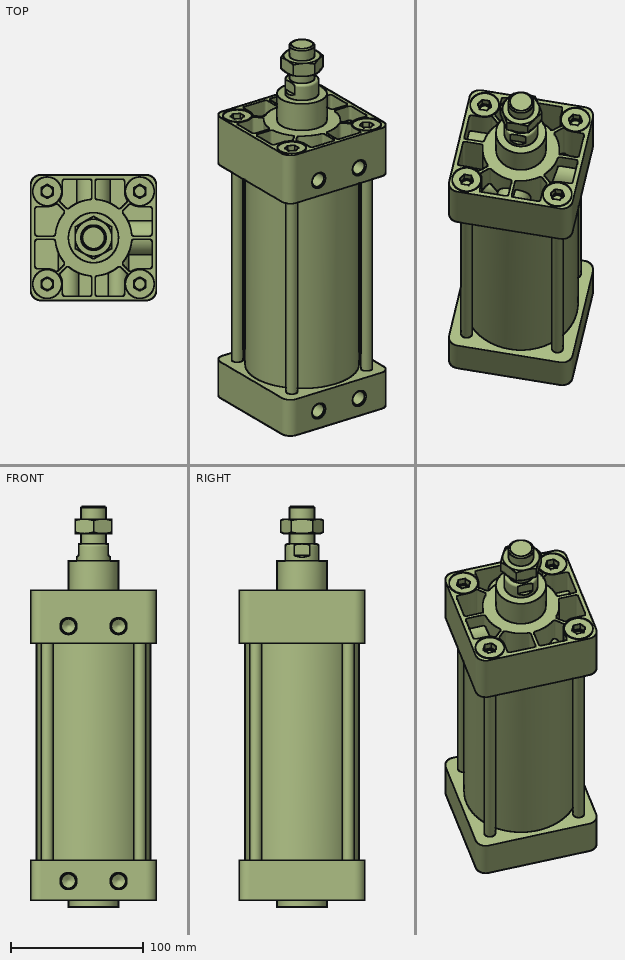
import cadquery as cq
import math

total_height = 303.5

cap_side = 95.3
cap_corner_radius = 8.0
spigot_diameter = 38.0
rear_spigot_height = 5.2
rear_cap_height = 30.5
front_cap_top = 240.2
front_cap_height = 40.5
front_spigot_top = 262.3

barrel_diameter = 86.5
tie_rod_diameter = 8.8
tie_rod_spacing = 70.0

head_diameter = 22.0
head_recess_depth = 0.5
socket_across_flats = 9.0
socket_depth = 6.0
socket_drill_diameter = 8.5
socket_drill_depth = 7.5

pocket_wall = 3.3
pocket_rib = 2.5
pocket_depth = 33.5
pocket_corner_radius = 1.8
hub_diameter = 58.0
head_wall_radius = 11.5

mount_spacing = 38.0
mount_diameter = 11.0
mount_mouth_diameter = 12.8
mount_depth = 13.7
drill_point_angle = 118.0
front_mount_height = 212.8
rear_mount_height = 19.7
mount_boss_diameter = 15.8
port_boss_diameter = 25.5
port_boss_height = 215.5

rod_diameter = 25.5
rod_shoulder_height = 275.0
rod_shoulder_radius = 1.8
rod_flat_distance = 22.5
rod_flat_bottom = 266.5
thread_diameter = 19.0
thread_chamfer = 1.2

nut_across_flats = 28.0
nut_bottom = 283.0
nut_height = 11.0
nut_chamfer_angle = 25.0

tie_rod_offset = tie_rod_spacing / 2
rear_cap_top = rear_spigot_height + rear_cap_height
front_cap_bottom = front_cap_top - front_cap_height
pocket_floor = front_cap_top - pocket_depth
pocket_reach = cap_side / 2 - pocket_wall
tie_rod_places = [(sx * tie_rod_offset, sy * tie_rod_offset) for sx in (-1, 1) for sy in (-1, 1)]
hexagon_ratio = 1 / math.cos(math.pi / 6)


def cylinder(diameter, bottom, top):
    """Cylinder on the Z axis between two heights."""
    return cq.Workplane("XY").workplane(offset=bottom).circle(diameter / 2).extrude(top - bottom)


def hexagon(across_flats, bottom, top):
    """Hexagonal prism on the Z axis with two corners on the Y axis."""
    prism = cq.Workplane("XY").workplane(offset=bottom)
    return prism.polygon(6, across_flats * hexagon_ratio).extrude(top - bottom).rotate((0, 0, 0), (0, 0, 1), 90)


def end_cap(bottom, height):
    """Square block with rounded upright edges."""
    block = cq.Workplane("XY").workplane(offset=bottom).rect(cap_side, cap_side).extrude(height)
    return block.edges("|Z").fillet(cap_corner_radius)


def mount_hole(x, z):
    """Drilled hole with a drill point and a chamfered mouth, entering the -Y face."""
    radius = mount_diameter / 2
    mouth_radius = mount_mouth_diameter / 2
    tip = mount_depth + radius / math.tan(math.radians(drill_point_angle / 2))
    profile = [
        (0, 0),
        (mouth_radius, 0),
        (radius, mouth_radius - radius),
        (radius, mount_depth),
        (0, tip),
    ]
    hole = cq.Workplane("XY").polyline(profile).close().revolve(360, (0, 0, 0), (0, 1, 0))
    return hole.translate((x, -cap_side / 2, z))


def head_walls():
    """Metal left around the tie rod heads: round towards the hub and straight towards the outer walls."""
    height = front_cap_top - pocket_floor
    base = cq.Workplane("XY").workplane(offset=pocket_floor)
    walls = base.pushPoints(tie_rod_places).circle(head_wall_radius).extrude(height)
    for angle in range(0, 360, 90):
        arm = base.center(tie_rod_offset, tie_rod_offset)
        for corner in ((0, -head_wall_radius), (-head_wall_radius, 0)):
            block = arm.moveTo(*corner).lineTo(head_wall_radius, corner[1])
            block = block.lineTo(head_wall_radius, head_wall_radius).lineTo(corner[0], head_wall_radius)
            walls = walls.union(block.close().extrude(height).rotate((0, 0, 0), (0, 0, 1), angle))
    return walls


def is_pocket_corner(edge):
    """True unless the edge is where a round head wall runs smoothly into a straight one."""
    place = edge.Center()
    gap = min(abs(abs(place.x) - tie_rod_offset), abs(abs(place.y) - tie_rod_offset))
    return gap > pocket_corner_radius


def pockets():
    """Eight pockets around the hub, parted by straight and diagonal ribs."""
    height = front_cap_top - pocket_floor
    base = cq.Workplane("XY").workplane(offset=pocket_floor)
    space = base.rect(2 * pocket_reach, 2 * pocket_reach).extrude(height)
    space = space.cut(cylinder(hub_diameter, pocket_floor, front_cap_top)).cut(head_walls())
    rib = base.rect(2 * cap_side, pocket_rib).extrude(height)
    for angle in range(0, 180, 45):
        space = space.cut(rib.rotate((0, 0, 0), (0, 0, 1), angle))
    return space.edges("|Z").filter(is_pocket_corner).fillet(pocket_corner_radius)


def boss(diameter, angle, across, height):
    """Round bar from the Z axis to an outer wall; an angle of 0 points it along +X."""
    bar = cq.Workplane("YZ").center(across, height).circle(diameter / 2).extrude(pocket_reach)
    return bar.rotate((0, 0, 0), (0, 0, 1), angle)


def tie_rod_heads():
    """Shallow recesses over the tie rod heads, with a drilled hexagon socket in each head."""
    recess = cylinder(head_diameter, front_cap_top - head_recess_depth, front_cap_top)
    socket = hexagon(socket_across_flats, front_cap_top - socket_depth, front_cap_top)
    drill = cylinder(socket_drill_diameter, front_cap_top - socket_drill_depth, front_cap_top)
    return recess.union(socket).union(drill)


def build_housing():
    """Caps, barrel, spigots and tie rods."""
    space = pockets()
    for side in (-1, 1):
        space = space.cut(boss(mount_boss_diameter, -90, side * mount_spacing / 2, front_mount_height))
    for angle in (0, 90):
        space = space.cut(boss(port_boss_diameter, angle, 0, port_boss_height))

    body = end_cap(rear_spigot_height, rear_cap_height)
    body = body.union(cylinder(spigot_diameter, 0, rear_spigot_height))
    body = body.union(cylinder(barrel_diameter, rear_cap_top, front_cap_bottom))
    body = body.union(end_cap(front_cap_bottom, front_cap_height).cut(space))
    body = body.union(cylinder(spigot_diameter, front_cap_top, front_spigot_top))
    for x, y in tie_rod_places:
        body = body.union(cylinder(tie_rod_diameter, rear_cap_top, front_cap_bottom).translate((x, y, 0)))
        body = body.cut(tie_rod_heads().translate((x, y, 0)))
    for z in (rear_mount_height, front_mount_height):
        for side in (-1, 1):
            body = body.cut(mount_hole(side * mount_spacing / 2, z))
    return body


def build_rod():
    """Piston rod standing on the front spigot, with wrench flats and a threaded end."""
    rod = cylinder(rod_diameter, front_spigot_top, rod_shoulder_height)
    rod = rod.faces(">Z").edges().fillet(rod_shoulder_radius)
    flat_half = rod_flat_distance / 2
    depth = rod_diameter / 2 - flat_half
    outline = [
        (flat_half, rod_shoulder_height),
        (flat_half, rod_flat_bottom),
        (flat_half + depth, rod_flat_bottom - depth),
        (flat_half + depth, rod_shoulder_height),
    ]
    flat = cq.Workplane("XZ").polyline(outline).close().extrude(rod_diameter / 2, both=True)
    rod = rod.cut(flat).cut(flat.mirror("YZ"))
    thread = cylinder(thread_diameter, rod_shoulder_height, total_height)
    return rod.union(thread.faces(">Z").edges().chamfer(thread_chamfer))


def build_nut():
    """Hexagon nut on the rod's thread, its corners chamfered at both ends."""
    top = nut_bottom + nut_height
    corner_radius = nut_across_flats * hexagon_ratio / 2
    face_radius = nut_across_flats / 2
    drop = (corner_radius - face_radius) * math.tan(math.radians(nut_chamfer_angle))
    envelope = [
        (0, nut_bottom),
        (face_radius, nut_bottom),
        (corner_radius, nut_bottom + drop),
        (corner_radius, top - drop),
        (face_radius, top),
        (0, top),
    ]
    rounding = cq.Workplane("XZ").polyline(envelope).close().revolve(360, (0, 0, 0), (0, 1, 0))
    nut = hexagon(nut_across_flats, nut_bottom, top).intersect(rounding)
    return nut.cut(cylinder(thread_diameter, nut_bottom, top))


housing = build_housing()
rod = build_rod()
nut = build_nut()
result = cq.Compound.makeCompound([housing.val(), rod.val(), nut.val()])